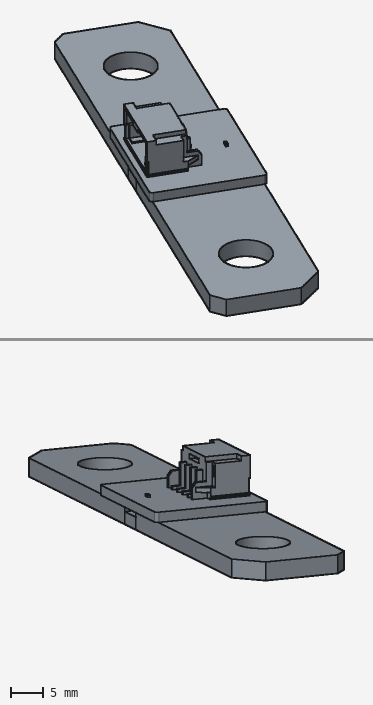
import cadquery as cq

bar_length = 85.0
bar_width = 18.2
bar_thickness = 3.0
bar_back_chamfer = 4.0
bar_front_chamfer = 2.0
hole_diameter = 8.4
hole_spacing = 60.0
element_length = 4.25
element_thickness = 2.0

board_length = 21.25
board_width = 19.0
board_thickness = 1.6
board_corner_radius = 0.5
board_top = bar_thickness + board_thickness

chip_length = 1.0
chip_width = 0.4
chip_height = 0.3
chip_cap_length = 0.25
chip_y = 6.1

shell_width = 12.1
shell_top = 11.05
shell_front = -8.6
shell_back = -1.7
core_width = 9.5
crown_width = 8.5
crown_height = 0.8
front_rim_depth = 1.5
back_notch_bottom = 6.5
back_notch_front = -2.6
flank_back = -1.9
fin_thickness = 0.8

foot_inset = 0.1
side_step_top = 5.1
front_step_top = 4.85

corner_recess_top = 7.4
corner_recess_depth = 0.25
corner_recess_width = 0.5

tab_thickness = 0.5
tab_back = 0.7
tab_slope_front = 0.1
tab_slope_bottom = back_notch_bottom
tab_top = 7.2

back_wall = 1.0
cavity_back = shell_back - back_wall
cavity_floor = 5.4
cavity_ceiling = 9.8
cavity_width = 10.45
ledge_height = 8.0
lower_cavity_width = 9.2
floor_rail_width = 1.3
floor_rail_height = 0.25

mouth_ceiling = 10.3
mouth_depth = 1.3
lead_in = 0.25
lower_mouth_width = 10.0
lower_mouth_depth = 0.5

key_slot_width = 3.6
key_slot_bottom = 9.5
key_width = 2.55
key_bottom = 10.0
rib_width = 0.8
rib_offset = 3.8
rib_bottom = 9.0

pin_count = 4
pin_pitch = 2.0
pin_thickness = 0.5
pin_blade_middle = 7.7
pin_blade_length = 0.5
pin_shoulder_top = 8.75
pin_shoulder_back = -0.7
pin_foot_back = tab_back


def centred(width, middle=0.0):
    """Range of the given width around a middle position."""
    return (middle - width / 2, middle + width / 2)


def on_side(side, inner, outer):
    """Range between two distances from the middle plane, on side -1 or 1."""
    return tuple(sorted((side * inner, side * outer)))


def block(x_range, y_range, z_range):
    """Box spanning the given ranges along X, Y and Z."""
    ranges = (x_range, y_range, z_range)
    sizes = [end - start for start, end in ranges]
    corner = tuple(start for start, _ in ranges)
    return cq.Workplane("XY").box(*sizes, centered=False).translate(corner)


def make_terminal(side):
    """One end of the bar, with clipped outer corners and a bolt hole."""
    inner_end = element_length / 2
    outer_end = bar_length / 2
    edge = bar_width / 2
    outline = [
        (inner_end, -edge),
        (outer_end - bar_front_chamfer, -edge),
        (outer_end, -edge + bar_front_chamfer),
        (outer_end, edge - bar_back_chamfer),
        (outer_end - bar_back_chamfer, edge),
        (inner_end, edge),
    ]
    plate = cq.Workplane("XY").polyline([(side * x, y) for x, y in outline]).close().extrude(bar_thickness)
    hole = cq.Workplane("XY").center(side * hole_spacing / 2, 0).circle(hole_diameter / 2)
    return plate.cut(hole.extrude(bar_thickness))


def make_element():
    """Resistive strip filling the gap between the terminals, lower than they are."""
    return block(centred(element_length), centred(bar_width), (0, element_thickness))


def make_board():
    board = block(centred(board_length), centred(board_width), (bar_thickness, board_top))
    return board.edges("|Z").fillet(board_corner_radius)


def chip_piece(x_range):
    """Slice of the chip over the given X range."""
    return block(x_range, centred(chip_width, chip_y), (board_top, board_top + chip_height))


def make_chip_core():
    return chip_piece(centred(chip_length - 2 * chip_cap_length))


def make_chip_cap(side):
    return chip_piece(on_side(side, chip_length / 2 - chip_cap_length, chip_length / 2))


def make_shell_body():
    """Solid outside form of the shell, without its cavity."""
    flanks = block(centred(shell_width), (shell_front, flank_back), (board_top, shell_top))
    core = block(centred(core_width), (shell_front, shell_back), (board_top, shell_top))
    body = flanks.union(core)
    half = shell_width / 2
    rim_back = shell_front + front_rim_depth
    recess_back = shell_front + corner_recess_depth
    for side in (-1, 1):
        crown_step = block(
            on_side(side, crown_width / 2, half),
            (rim_back, shell_back),
            (shell_top - crown_height, shell_top),
        )
        back_notch = block(
            on_side(side, core_width / 2, half),
            (back_notch_front, shell_back),
            (back_notch_bottom, shell_top),
        )
        corner_recess = block(
            on_side(side, half - corner_recess_width, half),
            (shell_front, recess_back),
            (side_step_top, corner_recess_top),
        )
        side_step = block(
            on_side(side, half - foot_inset, half),
            (shell_front, flank_back),
            (board_top, side_step_top),
        )
        foot_step = block(
            on_side(side, half - 2 * foot_inset, half),
            (shell_front, flank_back),
            (board_top, front_step_top),
        )
        for cutter in (crown_step, back_notch, corner_recess, side_step, foot_step):
            body = body.cut(cutter)
    front_step = block(
        centred(shell_width),
        (shell_front, shell_front + foot_inset),
        (board_top, front_step_top),
    )
    return body.cut(front_step)


def make_fin(side):
    """Thin triangular web from the flank back to the mounting tab."""
    inner = side * core_width / 2
    corners = [(side * shell_width / 2, flank_back), (inner, tab_slope_front), (inner, flank_back)]
    base = cq.Workplane("XY").workplane(offset=back_notch_bottom - fin_thickness)
    return base.polyline(corners).close().extrude(fin_thickness)


def make_tab(side):
    """Upright mounting tab with a sloped upper back corner."""
    profile = [
        (shell_back, board_top),
        (tab_back, board_top),
        (tab_back, tab_slope_bottom),
        (tab_slope_front, tab_top),
        (shell_back, tab_top),
    ]
    start, _ = on_side(side, core_width / 2 - tab_thickness, core_width / 2)
    return cq.Workplane("YZ").workplane(offset=start).polyline(profile).close().extrude(tab_thickness)


def make_lead_in():
    """Tapered opening that narrows from the front face to the cavity mouth."""
    middle = (ledge_height + mouth_ceiling) / 2
    height = mouth_ceiling - ledge_height
    plane = cq.Workplane("XZ", origin=(0, shell_front, middle))
    front = plane.rect(cavity_width + 2 * lead_in, height + 2 * lead_in)
    return front.workplane(offset=-lead_in).rect(cavity_width, height).loft(ruled=True)


def make_cavity():
    """Everything removed from the shell for the mating plug."""
    depth = (shell_front, cavity_back)
    mouth = (shell_front, shell_front + mouth_depth)
    lower_mouth = (shell_front, shell_front + lower_mouth_depth)
    upper = block(centred(cavity_width), depth, (ledge_height, cavity_ceiling))
    lower = block(centred(lower_cavity_width), depth, (cavity_floor, ledge_height))
    upper_mouth = block(centred(cavity_width), mouth, (ledge_height, mouth_ceiling))
    lower_opening = block(centred(lower_mouth_width), lower_mouth, (cavity_floor, ledge_height))
    key_slot = block(centred(key_slot_width), (shell_front, shell_back), (key_slot_bottom, mouth_ceiling))
    cavity = upper.union(lower).union(upper_mouth).union(lower_opening).union(key_slot)
    return cavity.union(make_lead_in())


def make_pin(x):
    """Bent contact: blade in the cavity, shoulder behind the shell, foot on the board."""
    width = centred(pin_thickness, x)
    blade = block(
        width, (cavity_back - pin_blade_length, shell_back), centred(pin_thickness, pin_blade_middle)
    )
    shoulder = block(width, (shell_back, pin_shoulder_back), (board_top, pin_shoulder_top))
    foot = block(width, (pin_shoulder_back, pin_foot_back), (board_top, board_top + pin_thickness))
    return blade.union(shoulder).union(foot)


def make_connector():
    """Shell with its tabs, keying and contact pins, as one solid."""
    connector = make_shell_body()
    for side in (-1, 1):
        connector = connector.union(make_fin(side)).union(make_tab(side))
    connector = connector.cut(make_cavity())
    key = block(centred(key_width), (shell_front, cavity_back), (key_bottom, mouth_ceiling + lead_in))
    connector = connector.union(key)
    for side in (-1, 1):
        rib = block(
            centred(rib_width, side * rib_offset),
            (shell_front + mouth_depth, cavity_back),
            (rib_bottom, cavity_ceiling),
        )
        rail = block(
            on_side(side, lower_cavity_width / 2 - floor_rail_width, lower_cavity_width / 2),
            (shell_front + lower_mouth_depth, cavity_back),
            (cavity_floor, cavity_floor + floor_rail_height),
        )
        connector = connector.union(rib).union(rail)
    for index in range(pin_count):
        connector = connector.union(make_pin((index - (pin_count - 1) / 2) * pin_pitch))
    return connector


terminals = [make_terminal(side) for side in (-1, 1)]
element = make_element()
board = make_board()
connector = make_connector()
chip_core = make_chip_core()
chip_caps = [make_chip_cap(side) for side in (-1, 1)]

result = cq.Compound.makeCompound(
    [
        *[terminal.val() for terminal in terminals],
        element.val(),
        board.val(),
        connector.val(),
        chip_core.val(),
        *[cap.val() for cap in chip_caps],
    ]
)